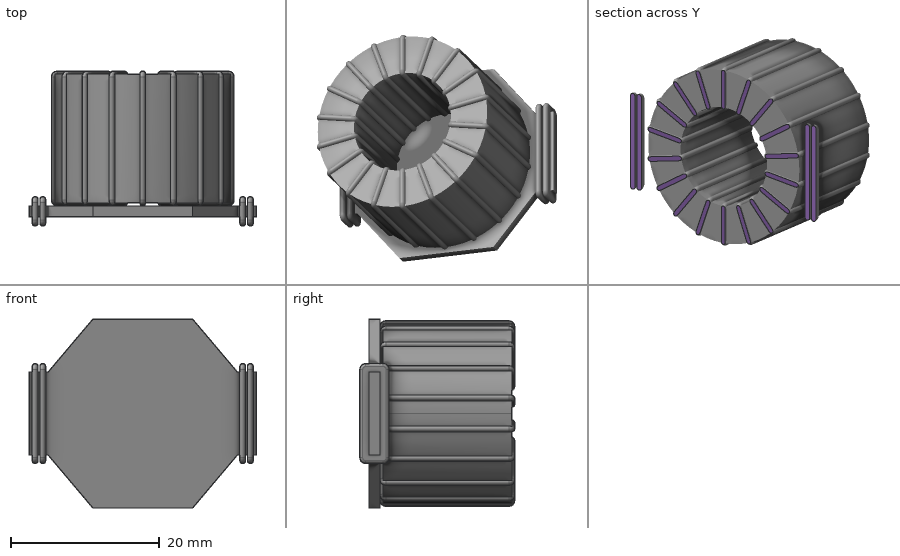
import cadquery as cq

plate_thickness = 1.5
plate_height = 25.4
plate_flat_half = 6.7
plate_shoulder_x = 12.7
lug_tip_x = 15.25
lug_height = 11.2

wire_diameter = 0.8
wire_radius = wire_diameter / 2
bend_radius = wire_radius

wrap_clearance_y = 1.23
wrap_clearance_z = 1.12
wrap_depth = plate_thickness + 2 * wrap_clearance_y
wrap_height = lug_height + 2 * wrap_clearance_z
wrap_outer_x = 14.45
wrap_pitch = 1.02
wraps_per_lug = 2

core_outer_radius = 12.07
core_inner_radius = 6.9
core_length = 17.3
core_start_y = wire_radius
turn_count = 18


def rounded_slab(size_x, size_y):
    """Filled loop of wire, centred on the XY plane, with fully round edges."""
    inner_x = size_x - wire_diameter
    inner_y = size_y - wire_diameter
    filling = (
        cq.Workplane("XY")
        .rect(inner_x, inner_y)
        .extrude(wire_radius, both=True)
        .edges("|Z")
        .fillet(bend_radius)
    )
    centreline = filling.section().wires()
    rim = (
        cq.Workplane("YZ", origin=(0, inner_y / 2, 0))
        .circle(wire_radius)
        .sweep(centreline)
    )
    return filling.union(rim)


def make_plate():
    top_z = plate_height / 2
    lug_z = lug_height / 2
    corner = [
        (plate_flat_half, top_z),
        (plate_shoulder_x, lug_z),
        (lug_tip_x, lug_z),
    ]
    right_side = corner + [(x, -z) for x, z in reversed(corner)]
    left_side = [(-x, -z) for x, z in right_side]
    plate = cq.Workplane("XZ").polyline(right_side + left_side).close().extrude(plate_thickness)

    wrap = rounded_slab(wrap_height, wrap_depth).rotate((0, 0, 0), (0, 1, 0), 90)
    for side in (-1, 1):
        for index in range(wraps_per_lug):
            wrap_x = side * (wrap_outer_x - index * wrap_pitch)
            plate = plate.union(wrap.translate((wrap_x, -plate_thickness / 2, 0)))
    return plate


def make_wound_core():
    core = (
        cq.Workplane("XZ", origin=(0, core_start_y, 0))
        .circle(core_outer_radius)
        .circle(core_inner_radius)
        .extrude(-core_length)
    )
    turn_width = core_outer_radius - core_inner_radius + wire_diameter
    turn_length = core_length + wire_diameter
    turn = (
        rounded_slab(turn_width, turn_length)
        .rotate((0, 0, 0), (0, 1, 0), 90)
        .translate((0, turn_length / 2, (core_outer_radius + core_inner_radius) / 2))
    )
    turn_pitch = 360 / turn_count
    turns = [turn.rotate((0, 0, 0), (0, 1, 0), index * turn_pitch).val() for index in range(turn_count)]
    return cq.Workplane(core.val().fuse(*turns))


plate = make_plate()
wound_core = make_wound_core()

result = cq.Compound.makeCompound([plate.val(), wound_core.val()])